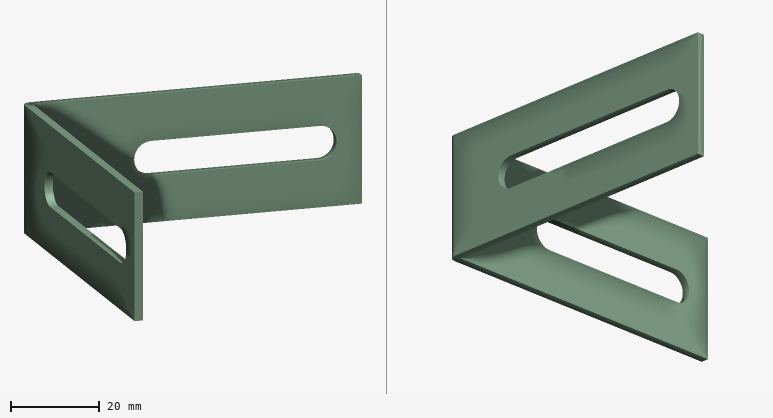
import cadquery as cq

leg_length = 80.0
height = 30.0
thickness = 2.0

outer_bend_radius = 2.0

slot_width = 8.0
slot_end = 74.0
x_leg_slot_start = 16.0
y_leg_slot_start = 26.0


def angle_bracket():
    """L-shaped strip with a bend rounded on the outside, along the Z axis."""
    profile = (
        cq.Workplane("XY")
        .polyline([
            (0, 0),
            (leg_length, 0),
            (leg_length, thickness),
            (thickness, thickness),
            (thickness, leg_length),
            (0, leg_length),
        ])
        .close()
    )
    outer_corner = cq.NearestToPointSelector((0, 0, height / 2))
    return profile.extrude(height).edges(outer_corner).fillet(outer_bend_radius)


def slot_cutter(plane, start, depth):
    """Round-ended slot at mid-height, through one leg."""
    return (
        cq.Workplane(plane)
        .center((start + slot_end) / 2, height / 2)
        .slot2D(slot_end - start, slot_width)
        .extrude(depth)
    )


x_leg_slot = slot_cutter("XZ", x_leg_slot_start, -thickness)
y_leg_slot = slot_cutter("YZ", y_leg_slot_start, thickness)

result = angle_bracket().cut(x_leg_slot).cut(y_leg_slot)